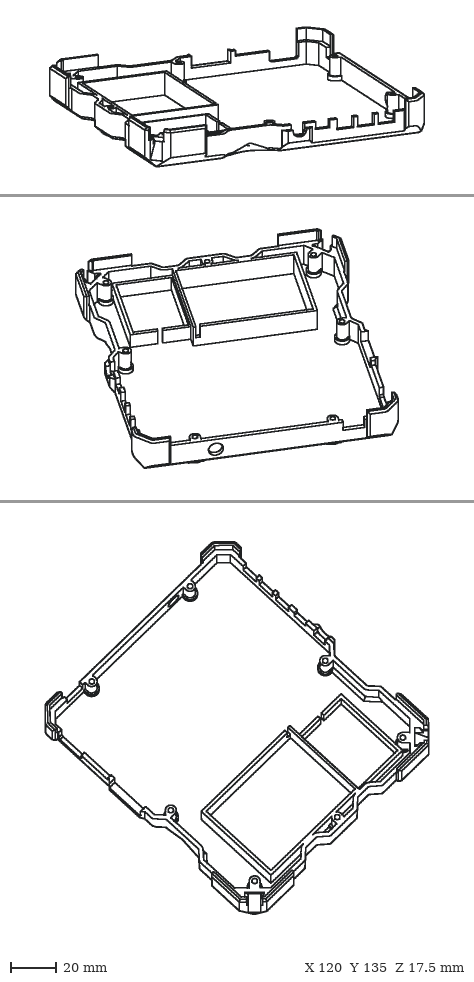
import cadquery as cq
import math

LENGTH_X = 120.0
LENGTH_Y = 135.0
GUARD_HEIGHT = 17.5
WALL_HEIGHT = 12.0
GUARD_DEPTH = 2.5
WALL = 2.0
FLOOR = 1.5

BODY_X = LENGTH_X / 2 - GUARD_DEPTH
BODY_Y = LENGTH_Y / 2 - GUARD_DEPTH
INNER_X = BODY_X - WALL
INNER_Y = BODY_Y - WALL

CORNER_SHIFT = 2 - math.sqrt(2)
BACK_CORNER = 5.4
FRONT_CORNER = 7.1
INNER_FRONT_CORNER = 11.3
GUARD_CORNER_ROUND = 3.0

BEVEL_X = 5.0
BEVEL_Y = 4.0
WALL_BEVEL = 1.4

GUARD_BEVEL = 1.0
GUARD_LIP_GAP = 0.4
BACK_GUARD_X, BACK_GUARD_Y = 44.5, 55.5
FRONT_GUARD_X, FRONT_GUARD_Y = 33.2, 41.0

RECESS_DEPTH = 4.0
RECESS_RUN = 4.5
RECESS_ROUND = 1.5
SIDE_RECESS_Y = -17.5
SIDE_RECESS_HALF = 10.0
FRONT_RECESS_X = 16.5
FRONT_RECESS_HALF = 3.5
LEDGE = 1.6
SCOOP_TOP = 5.0
SCOOP_DEPTH = 4.0
SCOOP_CLEARANCE = 0.1
SCOOP_EDGE_SLOPE = 0.42

HOLE_D = 2.4
POST_D = 4.8
BASE_D = 6.6
BASE_TOP = FLOOR + 2.0
BACK_POSTS = [(-30.0, 61.25), (32.4, 61.25)]
SIDE_POST = (49.0, -6.0)
CORNER_POST = (47.0, -55.75)
FRONT_POST = (0.0, -61.0)

BOX_WALL = 1.6
BIG_BOX = (-40.0, 16.2, -59.0, -16.0)
BIG_DIVIDER = 1.2
BIG_BOX_NOTCH_WIDTH, BIG_BOX_NOTCH_SILL = 2.0, 6.0
SMALL_BOX = (15.4, 43.6, -59.0, -21.0)
SMALL_BOX_TOP = 8.5
SMALL_BOX_GAP = (28.9, 31.1)

LEFT_BOSS_X = 59.0
LEFT_BOSS_Y = (1.9, 23.6)
LEFT_BOSS_BEVEL = 1.4
LEFT_OPENINGS = [(24.5, 41.0, 9.5), (3.2, 22.2, 6.6)]
LEFT_PORT = (41.0, 55.0, 4.6)
LEFT_PORT_BEVEL = 0.9
RIGHT_OPENINGS = [(43.0, 51.0, 7.1), (33.0, 41.0, 7.1), (23.0, 31.0, 7.1), (12.5, 19.5, 8.5)]
RIGHT_BOSS_X, RIGHT_BOSS_Y = 59.5, (-3.6, 10.8)
RIGHT_BOSS_BEVEL, RIGHT_BOSS_TOP = 2.0, 10.0
JACK_D, JACK_Y, JACK_Z = 6.6, 4.0, 10.0
BACK_OPENING = (-43.6, -33.9, 7.5)
BACK_HOLE_D, BACK_HOLE_X, BACK_HOLE_Z = 6.6, 23.7, 6.5

CHANNEL_WIDTH = 5.6
GUARD_GAP = 7.1
FUNNEL_DEPTH = 2.5
FUNNEL_WIDTH = 8.6
CHANNEL_SUM = 110.2
CHANNEL_SHIFT = 8.5
RAMP_TOP, RAMP_EXIT = 10.0, 2.8
RAMP_LENGTH = 6.4


def block(x0, x1, y0, y1, z0, z1):
    return cq.Workplane("XY").box(x1 - x0, y1 - y0, z1 - z0, centered=False).translate((x0, y0, z0))


def prism(points, z0, z1):
    return cq.Workplane("XY").workplane(offset=z0).polyline(points).close().extrude(z1 - z0)


def mirror_x(solid):
    return solid.union(solid.mirror("YZ"))


def outline(offset):
    """Rectangle with cut corners, offset outward from the wall's outer face."""
    x = BODY_X + offset
    y = BODY_Y + offset
    back = BACK_CORNER + offset * CORNER_SHIFT
    front = FRONT_CORNER + offset * CORNER_SHIFT
    half = [(x - front, -y), (x, -y + front), (x, y - back), (x - back, y)]
    return half + [(-px, py) for px, py in reversed(half)]


def recess_points(half, depth, grow):
    """Trapezoid open along y = 0; grow offsets its floor and sloped sides into the part."""
    slope = RECESS_RUN / depth
    side = grow * (math.hypot(1, slope) - slope)
    inner_half = half + side
    reach = depth + grow
    return [(-inner_half, -reach), (inner_half, -reach),
            (inner_half + slope * reach, 0), (-inner_half - slope * reach, 0)]


def at_side_recesses(tool):
    return mirror_x(tool.rotate((0, 0, 0), (0, 0, 1), -90).translate((BODY_X, SIDE_RECESS_Y, 0)))


def at_front_recesses(tool):
    return mirror_x(tool.rotate((0, 0, 0), (0, 0, 1), 180).translate((FRONT_RECESS_X, -BODY_Y, 0)))


def round_upright_edges(solid, x, y, half_x, half_y, radius):
    """Round the vertical edges inside a rectangle around (x, y) and its mirror image in x."""
    for cx in (-x, x):
        low = (cx - half_x, y - half_y, 0)
        high = (cx + half_x, y + half_y, WALL_HEIGHT)
        solid = solid.edges("|Z").edges(cq.selectors.BoxSelector(low, high)).fillet(radius)
    return solid


def make_shell_block():
    """Solid block with the outer shape of the wall, recesses included."""
    side = prism(recess_points(SIDE_RECESS_HALF, RECESS_DEPTH, 0), 0, WALL_HEIGHT)
    front = prism(recess_points(FRONT_RECESS_HALF, RECESS_DEPTH, 0), 0, WALL_HEIGHT)
    solid = prism(outline(0), 0, WALL_HEIGHT)
    solid = solid.cut(at_side_recesses(side)).cut(at_front_recesses(front))
    across = RECESS_DEPTH + RECESS_ROUND
    along_side = SIDE_RECESS_HALF + RECESS_RUN + RECESS_ROUND
    along_front = FRONT_RECESS_HALF + RECESS_RUN + RECESS_ROUND
    solid = round_upright_edges(solid, BODY_X, SIDE_RECESS_Y, across, along_side, RECESS_ROUND)
    return round_upright_edges(solid, FRONT_RECESS_X, -BODY_Y, along_front, across, RECESS_ROUND)


def make_cavity(shell_block):
    """Inside of the tray, with corner blocks at the front and a sloped ledge behind each side recess."""
    inner_wire = shell_block.faces("<Z").wires().val().offset2D(-WALL)[0]
    inner = cq.Solid.extrudeLinear(inner_wire, [], cq.Vector(0, 0, WALL_HEIGHT - FLOOR))
    inner = cq.Workplane(inner).translate((0, 0, FLOOR))
    c = INNER_FRONT_CORNER
    corner = prism([(INNER_X, -INNER_Y), (INNER_X, -INNER_Y + c), (INNER_X - c, -INNER_Y)],
                   FLOOR, WALL_HEIGHT)
    ledge_points = recess_points(SIDE_RECESS_HALF, RECESS_DEPTH, WALL + LEDGE)
    ledge = cq.Workplane("XY").polyline(ledge_points).close().extrude(LEDGE, taper=45)
    ledge = at_side_recesses(ledge.translate((0, 0, FLOOR)))
    ledge = ledge.intersect(block(-BODY_X, BODY_X, -BODY_Y, SIDE_POST[1], 0, WALL_HEIGHT))
    return inner.cut(mirror_x(corner)).cut(ledge)


def chamfer_near(solid, points, size):
    for point in points:
        solid = solid.edges(cq.selectors.NearestToPointSelector(point)).chamfer(size)
    return solid


def make_guards():
    """Bevelled pads around the four corners, rising as thin sheets above the wall."""
    half_x = LENGTH_X / 2
    half_y = LENGTH_Y / 2
    mid_z = GUARD_HEIGHT / 2
    side_corner_y = half_y - BACK_CORNER - GUARD_DEPTH * CORNER_SHIFT
    solid = prism(outline(GUARD_DEPTH), 0, GUARD_HEIGHT)
    solid = solid.edges("|Z and >Y").fillet(GUARD_CORNER_ROUND)
    for x in (-half_x, half_x):
        corner = cq.selectors.NearestToPointSelector((x, side_corner_y, mid_z))
        solid = solid.edges(corner).fillet(GUARD_CORNER_ROUND)
    solid = solid.faces(">Z").chamfer(GUARD_BEVEL)
    back = solid.intersect(block(BACK_GUARD_X, half_x, BACK_GUARD_Y, half_y, 0, GUARD_HEIGHT))
    back_ends = [(BACK_GUARD_X, half_y, mid_z), (half_x, BACK_GUARD_Y, mid_z)]
    back = chamfer_near(back, back_ends, GUARD_BEVEL)
    front = solid.intersect(block(FRONT_GUARD_X, half_x, -half_y, -FRONT_GUARD_Y, 0, GUARD_HEIGHT))
    front_ends = [(FRONT_GUARD_X, -half_y, mid_z), (half_x, -FRONT_GUARD_Y, mid_z)]
    front = chamfer_near(front, front_ends, GUARD_BEVEL)
    pads = mirror_x(back.union(front))
    return pads.cut(prism(outline(GUARD_LIP_GAP), WALL_HEIGHT, GUARD_HEIGHT))


def make_side_boss(outer_x, y_range, bevel, top):
    y0, y1 = y_range
    return prism([(INNER_X, y0), (BODY_X, y0), (outer_x, y0 + bevel),
                  (outer_x, y1 - bevel), (BODY_X, y1), (INNER_X, y1)], 0, top)


def bevel_bottom(solid):
    """Trim the lower long edges of the whole part at 45 degrees."""
    hx, hy, h = LENGTH_X / 2, LENGTH_Y / 2, GUARD_HEIGHT
    along_x = cq.Workplane("XZ").polyline(
        [(-hx + BEVEL_X, 0), (hx - BEVEL_X, 0), (hx, BEVEL_X), (hx, h), (-hx, h), (-hx, BEVEL_X)])
    along_y = cq.Workplane("YZ").polyline(
        [(-hy + BEVEL_Y, 0), (hy - BEVEL_Y, 0), (hy, BEVEL_Y), (hy, h), (-hy, h), (-hy, BEVEL_Y)])
    solid = solid.intersect(along_x.close().extrude(hy, both=True))
    return solid.intersect(along_y.close().extrude(hx, both=True))


def make_post(x, y, neck):
    """Post on a wider base; the neck is a web that joins the post to the wall."""
    post = cq.Workplane("XY").center(x, y).circle(POST_D / 2).extrude(WALL_HEIGHT)
    base = cq.Workplane("XY").center(x, y).circle(BASE_D / 2).extrude(BASE_TOP)
    return post.union(base).union(prism(neck, 0, WALL_HEIGHT))


def straight_neck(x, y, half, wall_y):
    return [(x - half, y), (x + half, y), (x + half, wall_y), (x - half, wall_y)]


def make_back_post(x, y):
    wall_y = INNER_Y + WALL / 2
    post = make_post(x, y, straight_neck(x, y, POST_D / 2, wall_y))
    return post.union(prism(straight_neck(x, y, BASE_D / 2, wall_y), 0, BASE_TOP))


def make_front_post():
    """Post between the front wall and the big compartment, on a square base that fills the gap."""
    x, y = FRONT_POST
    wall_y = -INNER_Y - WALL / 2
    base = block(x - BASE_D / 2, x + BASE_D / 2, wall_y, BIG_BOX[2] + BOX_WALL / 2, 0, BASE_TOP)
    return make_post(x, y, straight_neck(x, y, POST_D / 2, wall_y)).union(base)


def make_side_post():
    """Post in the inner corner of the right recess, joined to its sloped and straight walls."""
    x, y = SIDE_POST
    radius = POST_D / 2
    diagonal = radius / math.sqrt(2)
    wall_x = BODY_X - RECESS_DEPTH - WALL / 2
    reach = wall_x - x - diagonal
    return make_post(x, y, [(x, y), (x + diagonal, y + diagonal), (wall_x, y + diagonal - reach),
                            (wall_x, y - radius), (x, y - radius)])


def make_corner_post():
    """Post joined diagonally to the block in the right front corner."""
    x, y = CORNER_POST
    diagonal = POST_D / 2 / math.sqrt(2)
    reach = INNER_FRONT_CORNER / 2
    return make_post(x, y, [(x + diagonal, y + diagonal), (x + diagonal + reach, y + diagonal - reach),
                            (x - diagonal + reach, y - diagonal - reach), (x - diagonal, y - diagonal)])


def make_posts():
    posts = make_front_post()
    for x, y in BACK_POSTS:
        posts = posts.union(make_back_post(x, y))
    return posts.union(mirror_x(make_side_post().union(make_corner_post())))


def make_screw_holes():
    paired = [SIDE_POST, CORNER_POST]
    centres = BACK_POSTS + [FRONT_POST] + paired + [(-x, y) for x, y in paired]
    return cq.Workplane("XY").pushPoints(centres).circle(HOLE_D / 2).extrude(WALL_HEIGHT)


def make_boxes():
    x0, x1, y0, y1 = BIG_BOX
    w = BOX_WALL
    big = block(x0, x1, y0, y1, 0, WALL_HEIGHT)
    big = big.cut(block(x0 + w, x1 - BIG_DIVIDER, y0 + w, y1 - w, FLOOR, WALL_HEIGHT))
    notch_end = x1 - BIG_DIVIDER
    notch_start = notch_end - BIG_BOX_NOTCH_WIDTH
    big = big.cut(block(notch_start, notch_end, y1 - w, y1, BIG_BOX_NOTCH_SILL, WALL_HEIGHT))
    x0, x1, y0, y1 = SMALL_BOX
    small = block(x0, x1, y0, y1, 0, SMALL_BOX_TOP)
    small = small.cut(block(x0 + w, x1 - w, y0 + w, y1 - w, FLOOR, SMALL_BOX_TOP))
    small = small.cut(block(SMALL_BOX_GAP[0], SMALL_BOX_GAP[1], y1 - w, y1, FLOOR, SMALL_BOX_TOP))
    return big.union(small)


def make_openings():
    """Everything cut through the side and back walls."""
    x_in = INNER_X - WALL / 2
    x_out = LENGTH_X / 2
    cuts = cq.Workplane("YZ").center(JACK_Y, JACK_Z).circle(JACK_D / 2).extrude(GUARD_DEPTH)
    cuts = cuts.translate((BODY_X, 0, 0))
    jack_low, jack_high = JACK_Y - JACK_D / 2, JACK_Y + JACK_D / 2
    cuts = cuts.union(block(x_in, BODY_X, jack_low, jack_high, JACK_Z - JACK_D / 2, WALL_HEIGHT))
    for y0, y1, sill in RIGHT_OPENINGS:
        cuts = cuts.union(block(x_in, x_out, y0, y1, sill, WALL_HEIGHT))
    for y0, y1, sill in LEFT_OPENINGS:
        cuts = cuts.union(block(-x_out, -x_in, y0, y1, sill, WALL_HEIGHT))
    y0, y1, sill = LEFT_PORT
    port = block(-x_out, -x_in, y0, y1, sill, GUARD_HEIGHT).edges("|X and <Z").chamfer(LEFT_PORT_BEVEL)
    x0, x1, sill = BACK_OPENING
    notch = block(x0, x1, INNER_Y, BODY_Y, sill, WALL_HEIGHT)
    hole = cq.Workplane("XZ").center(BACK_HOLE_X, BACK_HOLE_Z).circle(BACK_HOLE_D / 2).extrude(-BODY_Y)
    hole = hole.intersect(block(0, BODY_X, INNER_Y, BODY_Y, 0, WALL_HEIGHT))
    return cuts.union(port).union(notch).union(hole)


def make_channel():
    """Open channel across the right front corner: an upright inner end, then a ramp falling outward.

    Its mouth inside the wall widens like a funnel, and the raised guard sheets stop on either side.
    """
    inner_end = CHANNEL_SUM / math.sqrt(2)
    exit_end = inner_end + RAMP_LENGTH
    half_shift = CHANNEL_SHIFT / 2
    mouth = FUNNEL_WIDTH / 2
    slot = CHANNEL_WIDTH / 2
    waist_z = WALL_HEIGHT - FUNNEL_DEPTH
    start = (-half_shift, -half_shift, 0)
    along = cq.Workplane(cq.Plane(origin=start, xDir=(1, -1, 0), normal=(-1, -1, 0)))
    across = cq.Workplane(cq.Plane(origin=start, xDir=(1, 1, 0), normal=(1, -1, 0)))
    ramp = along.polyline([(inner_end, WALL_HEIGHT), (inner_end, RAMP_TOP),
                           (exit_end, RAMP_EXIT), (exit_end, WALL_HEIGHT)])
    ramp = ramp.close().extrude(mouth, both=True)
    funnel = across.polyline([(-slot, 0), (slot, 0), (slot, waist_z), (mouth, WALL_HEIGHT),
                              (-mouth, WALL_HEIGHT), (-slot, waist_z)]).close().extrude(exit_end)
    funnel = funnel.intersect(block(0, INNER_X, -INNER_Y, 0, 0, WALL_HEIGHT))
    opening = across.rect(CHANNEL_WIDTH, 2 * WALL_HEIGHT).extrude(exit_end)
    sheet_gap = across.center(0, (WALL_HEIGHT + GUARD_HEIGHT) / 2)
    sheet_gap = sheet_gap.rect(GUARD_GAP, GUARD_HEIGHT - WALL_HEIGHT).extrude(exit_end)
    return ramp.intersect(funnel.union(opening)).union(sheet_gap)


def make_scoop():
    """Conical finger scoop under the right recess, with its apex just outside the recess wall.

    The cone passes through two edges that fall along the wall and one line that falls inward.
    """
    edge_drop = math.sin(math.atan(SCOOP_EDGE_SLOPE))
    inward_angle = math.atan2(SCOOP_TOP, SCOOP_DEPTH)
    lean = (math.sin(inward_angle) - edge_drop) / math.cos(inward_angle)
    half_angle = math.acos(edge_drop / math.hypot(lean, 1))
    height = 2 * SCOOP_TOP
    apex = cq.Vector(BODY_X - RECESS_DEPTH + SCOOP_CLEARANCE, SIDE_RECESS_Y, SCOOP_TOP)
    axis = cq.Vector(lean, 0, -1)
    return cq.Workplane(cq.Solid.makeCone(0, height * math.tan(half_angle), height, apex, axis))


shell_block = make_shell_block()
body = shell_block.faces("<Z").chamfer(WALL_BEVEL)
body = body.union(make_side_boss(RIGHT_BOSS_X, RIGHT_BOSS_Y, RIGHT_BOSS_BEVEL, RIGHT_BOSS_TOP))
left_boss = make_side_boss(LEFT_BOSS_X, LEFT_BOSS_Y, LEFT_BOSS_BEVEL, WALL_HEIGHT).mirror("YZ")
body = body.union(left_boss).union(make_guards())
body = body.cut(make_cavity(shell_block))
body = bevel_bottom(body)
body = body.union(make_posts()).union(make_boxes())
body = body.cut(make_openings()).cut(mirror_x(make_channel()))
body = body.cut(mirror_x(make_scoop()))
result = body.cut(make_screw_holes())